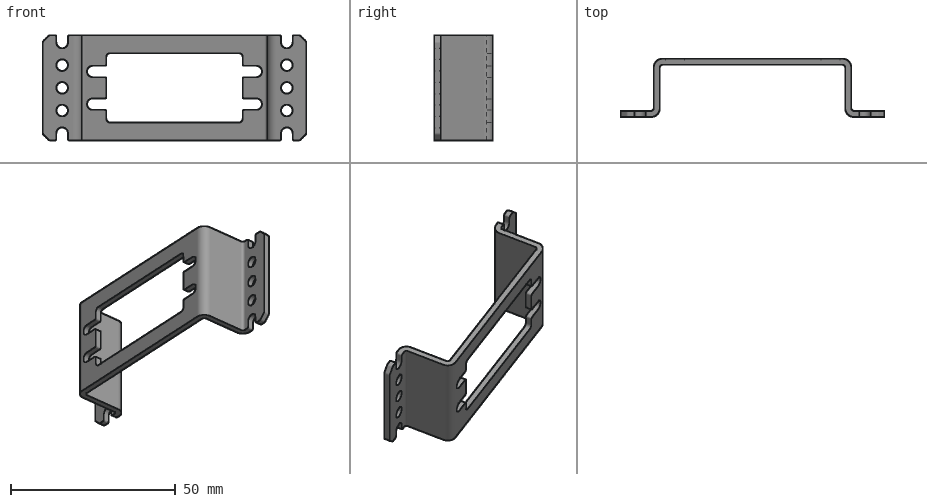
import cadquery as cq

LENGTH = 80.0
DEPTH = 17.8
HEIGHT = 32.0
END_X = LENGTH / 2
BACK_Y = DEPTH / 2
TOP_Z = HEIGHT / 2
SIDES = (-1, 1)

THICKNESS = 1.9
INNER_BEND = 0.8
OUTER_BEND = INNER_BEND + THICKNESS
WALL_OUTER_X = 30.0
WALL_INNER_X = WALL_OUTER_X - THICKNESS

HOLE_X = 34.1
HOLE_DIAMETER = 3.4
HOLE_PITCH = 6.9
NOTCH_STEP = 2
NOTCH_Z = NOTCH_STEP * HOLE_PITCH
FLANGE_CHAMFER = 2.0
FLANGE_CORNER_RADIUS = 1.0

WINDOW_HALF_WIDTH = 20.6
WINDOW_HALF_HEIGHT = 10.5
WINDOW_RADIUS = 1.1
SLOT_Z = 5.0
SLOT_WIDTH = 3.4
SLOT_TIP_X = 26.5
SLOT_TIP_RADIUS = 1.6

MOUTH_RADIUS = 0.6

SELECT_MARGIN = 0.1


def mirrored(x, z):
    """Return the four mirror images of a point in the XZ plane."""
    return [(side_x * x, side_z * z) for side_x in SIDES for side_z in SIDES]


def bar_through(half_width, half_height, x=0.0, z=0.0):
    """Rectangular bar along Y, longer than the bracket is deep, centred on (x, z)."""
    return cq.Workplane("XY").box(2 * half_width, 2 * DEPTH, 2 * half_height).translate((x, 0, z))


def half_profile(side):
    """Points of one half of the hat section, from the inside centre round to the outside centre."""
    points = [
        (0, BACK_Y - THICKNESS),
        (WALL_INNER_X, BACK_Y - THICKNESS),
        (WALL_INNER_X, -BACK_Y),
        (END_X, -BACK_Y),
        (END_X, -BACK_Y + THICKNESS),
        (WALL_OUTER_X, -BACK_Y + THICKNESS),
        (WALL_OUTER_X, BACK_Y),
        (0, BACK_Y),
    ]
    return [(side * x, y) for x, y in points]


def round_edges(body, direction, points, radius):
    """Fillet the edges along Z through (x, y) points, or along Y through (x, z) points."""
    selector = None
    for x, other in points:
        if direction == "Z":
            low = (x - SELECT_MARGIN, other - SELECT_MARGIN, -HEIGHT)
            high = (x + SELECT_MARGIN, other + SELECT_MARGIN, HEIGHT)
        else:
            low = (x - SELECT_MARGIN, -DEPTH, other - SELECT_MARGIN)
            high = (x + SELECT_MARGIN, DEPTH, other + SELECT_MARGIN)
        box = cq.selectors.BoxSelector(low, high)
        selector = box if selector is None else selector + box
    return body.edges(f"|{direction}").edges(selector).fillet(radius)


def bent_sheet():
    """Hat-section strip with concentric bends."""
    outline = half_profile(1) + half_profile(-1)[-2:0:-1]
    body = cq.Workplane("XY").polyline(outline).close().extrude(TOP_Z, both=True)
    inner_bends = [(side * WALL_INNER_X, BACK_Y - THICKNESS) for side in SIDES]
    inner_bends += [(side * WALL_OUTER_X, -BACK_Y + THICKNESS) for side in SIDES]
    outer_bends = [(side * WALL_OUTER_X, BACK_Y) for side in SIDES]
    outer_bends += [(side * WALL_INNER_X, -BACK_Y) for side in SIDES]
    body = round_edges(body, "Z", inner_bends, INNER_BEND)
    return round_edges(body, "Z", outer_bends, OUTER_BEND)


def window_cutter():
    """Window and its four side slots as one solid bar along Y."""
    cutter = bar_through(WINDOW_HALF_WIDTH, WINDOW_HALF_HEIGHT)
    for z in (-SLOT_Z, SLOT_Z):
        cutter = cutter.union(bar_through(SLOT_TIP_X, SLOT_WIDTH / 2, z=z))
    low_z = SLOT_Z - SLOT_WIDTH / 2
    high_z = SLOT_Z + SLOT_WIDTH / 2
    mouths = mirrored(WINDOW_HALF_WIDTH, low_z) + mirrored(WINDOW_HALF_WIDTH, high_z)
    tips = mirrored(SLOT_TIP_X, low_z) + mirrored(SLOT_TIP_X, high_z)
    cutter = round_edges(cutter, "Y", mirrored(WINDOW_HALF_WIDTH, WINDOW_HALF_HEIGHT), WINDOW_RADIUS)
    cutter = round_edges(cutter, "Y", mouths, MOUTH_RADIUS)
    return round_edges(cutter, "Y", tips, SLOT_TIP_RADIUS)


def trim_flange_corners(body):
    """Cut the four outer corners at 45 degrees and soften both ends of each cut."""
    body = body.edges("|Y").edges("<X or >X").chamfer(FLANGE_CHAMFER)
    ends = mirrored(END_X, TOP_Z - FLANGE_CHAMFER) + mirrored(END_X - FLANGE_CHAMFER, TOP_Z)
    return round_edges(body, "Y", ends, FLANGE_CORNER_RADIUS)


def cut_flange_holes(body):
    """Drill the hole columns and open the outermost holes into notches."""
    radius = HOLE_DIAMETER / 2
    for side in SIDES:
        for step in range(-NOTCH_STEP, NOTCH_STEP + 1):
            drill = cq.Workplane("XZ").center(side * HOLE_X, step * HOLE_PITCH).circle(radius)
            body = body.cut(drill.extrude(DEPTH, both=True))
    notch_half_height = (TOP_Z - NOTCH_Z) / 2
    for x, z in mirrored(HOLE_X, NOTCH_Z + notch_half_height):
        body = body.cut(bar_through(radius, notch_half_height, x, z))
    mouths = mirrored(HOLE_X - radius, TOP_Z) + mirrored(HOLE_X + radius, TOP_Z)
    return round_edges(body, "Y", mouths, MOUTH_RADIUS)


bracket = bent_sheet().cut(window_cutter())
bracket = trim_flange_corners(bracket)
result = cut_flange_holes(bracket)